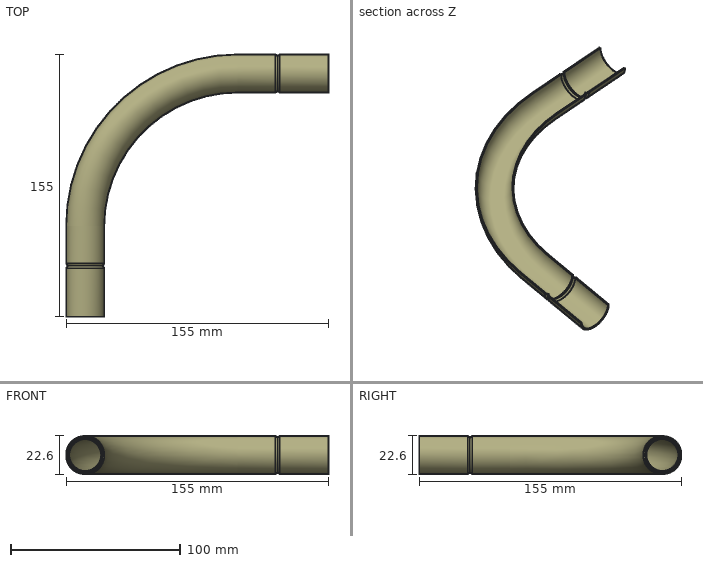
import cadquery as cq

overall_length = 155.0
outer_diameter = 22.6
wall = 1.0
bend_radius = 90.0

groove_center = 30.0
groove_width = 2.8
groove_depth = 1.0

outer_radius = outer_diameter / 2
inner_radius = outer_radius - wall
straight_length = overall_length - outer_radius - bend_radius


def revolved_leg(radius):
    """Solid straight leg along +X from its open end, with the V-groove pressed in."""
    profile = (
        cq.Workplane("XY")
        .moveTo(0, 0)
        .lineTo(0, radius)
        .lineTo(groove_center - groove_width / 2, radius)
        .lineTo(groove_center, radius - groove_depth)
        .lineTo(groove_center + groove_width / 2, radius)
        .lineTo(straight_length, radius)
        .lineTo(straight_length, 0)
        .close()
    )
    return profile.revolve(360, (0, 0, 0), (1, 0, 0))


def straight_leg():
    """Hollow straight leg with its open end at the origin."""
    return revolved_leg(outer_radius).cut(revolved_leg(inner_radius))


def bend():
    """Hollow quarter bend from the origin, leaving along +Y and turning to +X."""
    ring = cq.Workplane("XZ").circle(outer_radius).circle(inner_radius)
    return ring.revolve(90, (bend_radius, 0, 0), (bend_radius, -1, 0))


y_leg = straight_leg().rotate((0, 0, 0), (0, 0, 1), 90)
elbow = bend().translate((0, straight_length, 0))
leg_reach = straight_length + bend_radius
x_leg = straight_leg().rotate((0, 0, 0), (0, 0, 1), 180).translate((leg_reach, leg_reach, 0))

result = y_leg.union(elbow).union(x_leg)